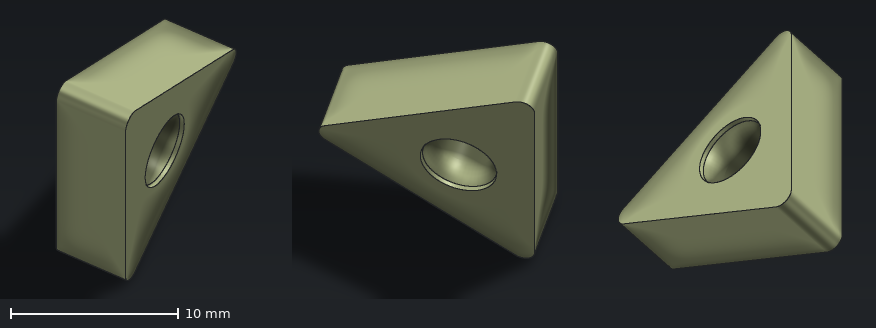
import cadquery as cq
import math

thickness = 4.76
inscribed_diameter = 9.52
nose_radius = 0.8

rim_radius = 2.38
flare_start_radius = 2.325
throat_radius = 1.905
lip_depth = 0.28
flare_length = 1.44

inscribed_radius = inscribed_diameter / 2
apex_distance = 2 * inscribed_radius
half_side = inscribed_radius * math.sqrt(3)


def insert_body():
    """Equilateral prism with one flat side facing -Y and rounded noses."""
    return (
        cq.Workplane("YZ")
        .polyline([
            (-inscribed_radius, -half_side),
            (apex_distance, 0),
            (-inscribed_radius, half_side),
        ])
        .close()
        .extrude(thickness)
        .edges("|X")
        .fillet(nose_radius)
    )


def flare_midpoint():
    """Middle of the flare arc as (depth, radius); the arc is tangent to the throat."""
    radial_drop = flare_start_radius - throat_radius
    arc_radius = (flare_length**2 + radial_drop**2) / (2 * radial_drop)
    half_angle = math.asin(flare_length / arc_radius) / 2
    depth = lip_depth + flare_length - arc_radius * math.sin(half_angle)
    radius = throat_radius + arc_radius * (1 - math.cos(half_angle))
    return depth, radius


def hole_cutter():
    """Solid of revolution about X, the same from both faces."""
    flare_end = lip_depth + flare_length
    middle_depth, middle_radius = flare_midpoint()
    return (
        cq.Workplane("XY")
        .moveTo(0, 0)
        .lineTo(0, rim_radius)
        .lineTo(lip_depth, flare_start_radius)
        .threePointArc((middle_depth, middle_radius), (flare_end, throat_radius))
        .lineTo(thickness - flare_end, throat_radius)
        .threePointArc(
            (thickness - middle_depth, middle_radius),
            (thickness - lip_depth, flare_start_radius),
        )
        .lineTo(thickness, rim_radius)
        .lineTo(thickness, 0)
        .close()
        .revolve(360, (0, 0, 0), (1, 0, 0))
    )


result = insert_body().cut(hole_cutter())